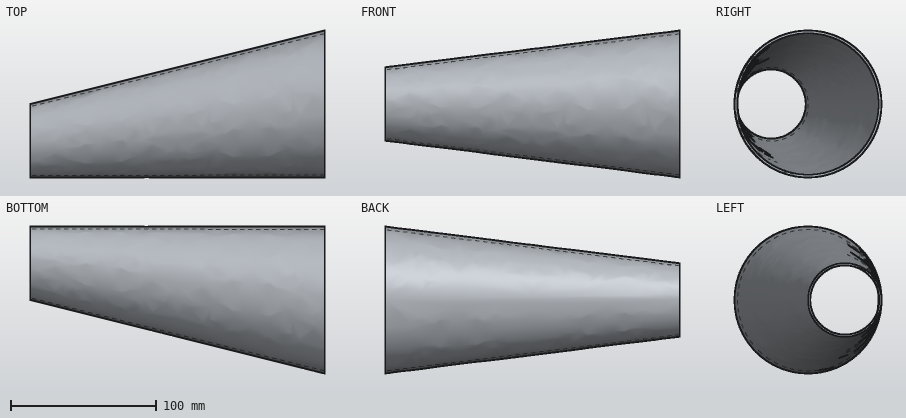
import cadquery as cq

length = 203.2
large_diameter = 101.5
small_diameter = 50.8
large_end_wall = 2.0
small_end_wall = 1.6

large_radius = large_diameter / 2
small_radius = small_diameter / 2
eccentricity = large_radius - small_radius


def eccentric_cone(small_end_radius, large_end_radius):
    """Solid tapering from the offset small end at X = 0 to the large end."""
    return (
        cq.Workplane("YZ")
        .center(-eccentricity, 0)
        .circle(small_end_radius)
        .workplane(offset=length)
        .center(eccentricity, 0)
        .circle(large_end_radius)
        .loft(ruled=True)
    )


outer_body = eccentric_cone(small_radius, large_radius)
bore = eccentric_cone(small_radius - small_end_wall, large_radius - large_end_wall)

result = outer_body.cut(bore)